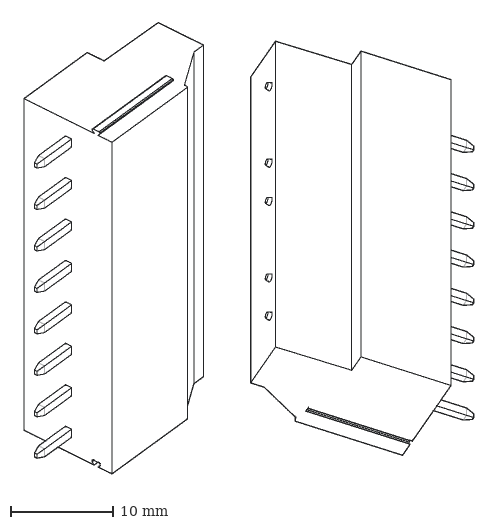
import cadquery as cq

pole_count = 8
total_height = 41.15
rib_height = 0.5
body_height = total_height - rib_height
pitch = body_height / pole_count
body_width = 11.2
body_depth = 17.95
shelf_depth = 9.75
neck_left = 2.15
neck_left_back = 2.25
neck_right = 8.02
bevel_back = 16.45
bevel_front = 11.75
lip_left = 10.7
lip_drop = 0.12

pin_x = 5.68
pin_length = 5.05
pin_width = 0.8
pin_height = 1.0
tip_length = 0.9
tip_width = 0.33
tip_height = 0.5

rib_x = 9.17
rib_length = 11.27
rib_width = 1.0
rib_crown_width = 0.75
rib_root_width = 0.5
rib_crown_bevel = 0.1
rib_flank_height = 0.3
groove_depth = 0.58

knob_boundaries = (1, 3, 4, 6, 7)
knob_x = 3.45
knob_base_diameter = 0.85
knob_tip_diameter = 0.6
knob_height = 0.4


def make_body():
    outline = [
        (0, 0),
        (body_width, 0),
        (body_width, bevel_front - lip_drop),
        (lip_left, bevel_front),
        (neck_right, bevel_back),
        (neck_right, body_depth),
        (neck_left_back, body_depth),
        (neck_left, shelf_depth),
        (0, shelf_depth),
    ]
    return cq.Workplane("XY").polyline(outline).close().extrude(body_height)


def make_dovetail(base_z, height):
    """Dovetail bar standing on base_z, running back from the front face."""
    right_side = [
        (rib_root_width / 2, 0),
        (rib_width / 2, rib_flank_height),
        (rib_width / 2, height - rib_crown_bevel),
        (rib_crown_width / 2, height),
    ]
    left_side = [(-x, z) for x, z in reversed(right_side)]
    return (
        cq.Workplane("XZ", origin=(rib_x, 0, base_z))
        .polyline(right_side + left_side)
        .close()
        .extrude(-rib_length)
    )


def make_pin(z):
    shank_length = pin_length - tip_length
    shank = (
        cq.Workplane("XZ", origin=(pin_x, 0, z))
        .rect(pin_width, pin_height)
        .extrude(shank_length)
    )
    tip = (
        cq.Workplane("XZ", origin=(pin_x, -shank_length, z))
        .rect(pin_width, pin_height)
        .workplane(offset=tip_length)
        .rect(tip_width, tip_height)
        .loft(ruled=True)
    )
    return shank.union(tip)


def make_knob(z):
    return (
        cq.Workplane("XZ", origin=(knob_x, body_depth, z))
        .circle(knob_base_diameter / 2)
        .workplane(offset=-knob_height)
        .circle(knob_tip_diameter / 2)
        .loft(ruled=True)
    )


result = make_body()
result = result.cut(make_dovetail(0, groove_depth))
result = result.union(make_dovetail(body_height, rib_height))
for pole in range(pole_count):
    result = result.union(make_pin((pole + 0.5) * pitch))
for boundary in knob_boundaries:
    result = result.union(make_knob(body_height - boundary * pitch))